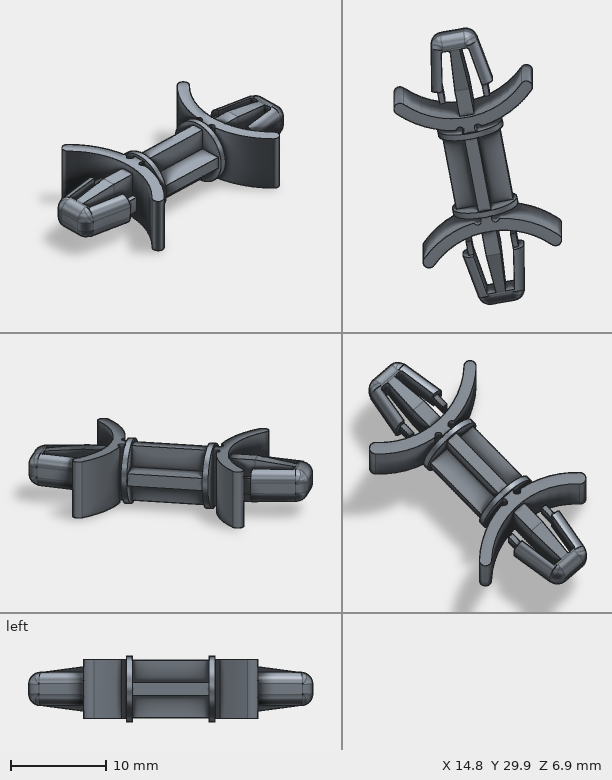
import cadquery as cq
import math

half_length = 14.95

flange_diameter = 6.9
flange_outer_y = 4.65
flange_thickness = 0.63
cross_width = 6.07
cross_rib_thickness = 1.35

bow_height = 6.22
bow_thickness = 1.3
bow_span = 14.8
bow_middle_y = 5.7
bow_tip_y = 8.52

neck_width = 1.55
groove_radius = 0.4
groove_x = 0.95
groove_lip_radius = 0.15
groove_y = flange_outer_y + groove_radius

head_height = 3.53
barb_end_y = 9.18
barb_end_half_width = 3.25
nose_half_width = 2.27
corner_radius = 1.17
nose_radius = 1.3

opening_root_y = 13.45
opening_root_half_width = 1.47
opening_end_half_width = 2.12
opening_root_radius = 0.3

stem_half_width = 0.78
stem_half_height = 2.33
stem_root_half_width = 0.5

pin_inner_x = 2.1
pin_outer_x = 2.65
pin_end_y = 7.65
pin_height = head_height / 2
pin_overlap = 0.3


def centered_prism(outline, height):
    """Extrude an XY outline equally above and below Z = 0."""
    return outline.extrude(height / 2, both=True)


def make_spacer():
    inner_length = 2 * (flange_outer_y - flange_thickness)
    spacer = cq.Workplane("XY").box(cross_width, inner_length, cross_rib_thickness)
    spacer = spacer.union(cq.Workplane("XY").box(cross_rib_thickness, inner_length, cross_width))
    flange = (
        cq.Workplane("XZ", origin=(0, flange_outer_y, 0))
        .circle(flange_diameter / 2)
        .extrude(flange_thickness)
    )
    return spacer.union(flange).union(flange.mirror("XZ"))


def make_bow():
    """Bow and neck of the +Y end."""
    tip_radius = bow_thickness / 2
    tip_x = bow_span / 2 - tip_radius
    rise = bow_tip_y - bow_middle_y
    middle_radius = (tip_x**2 + rise**2) / (2 * rise)
    center_y = bow_middle_y + middle_radius
    half_angle = math.asin(tip_x / middle_radius)

    def arc_point(radius, angle):
        return (radius * math.sin(angle), center_y - radius * math.cos(angle))

    outer_radius = middle_radius + tip_radius
    inner_radius = middle_radius - tip_radius
    bow = centered_prism(
        cq.Workplane("XY")
        .moveTo(*arc_point(outer_radius, -half_angle))
        .threePointArc(arc_point(outer_radius, 0), arc_point(outer_radius, half_angle))
        .tangentArcPoint(arc_point(inner_radius, half_angle), relative=False)
        .threePointArc(arc_point(inner_radius, 0), arc_point(inner_radius, -half_angle))
        .tangentArcPoint(arc_point(outer_radius, -half_angle), relative=False)
        .close(),
        bow_height,
    )
    neck_length = bow_middle_y - flange_outer_y
    neck = (
        cq.Workplane("XY")
        .box(neck_width, neck_length, bow_height)
        .translate((0, flange_outer_y + neck_length / 2, 0))
    )
    grooves = centered_prism(
        cq.Workplane("XY").pushPoints([(-groove_x, groove_y), (groove_x, groove_y)]).circle(groove_radius),
        bow_height,
    )
    grooved_bow = bow.union(neck).cut(grooves)
    lip_zone = cq.selectors.BoxSelector(
        (-groove_x - 2 * groove_radius, flange_outer_y + neck_length, -bow_height),
        (groove_x + 2 * groove_radius, groove_y, bow_height),
    )
    lips = grooved_bow.edges("|Z").edges(lip_zone)
    return lips.fillet(groove_lip_radius)


def make_stem():
    """Straight from the bow to the barb ends, then tapered in X and Z up to the head."""
    straight_length = barb_end_y - bow_middle_y
    taper_length = opening_root_y - barb_end_y
    stem = (
        cq.Workplane("XZ", origin=(0, bow_middle_y, 0))
        .rect(2 * stem_half_width, 2 * stem_half_height)
        .extrude(-straight_length)
    )
    taper = (
        cq.Workplane("XZ", origin=(0, barb_end_y, 0))
        .rect(2 * stem_half_width, 2 * stem_half_height)
        .workplane(offset=-taper_length)
        .rect(2 * stem_root_half_width, head_height)
        .loft(ruled=True)
    )
    return stem.union(taper)


def make_opening(side, rounded_root):
    """Gap between the stem and the barb on one side (+1 or -1 in X)."""
    opening = centered_prism(
        cq.Workplane("XY").polyline([
            (side * stem_half_width, barb_end_y),
            (side * opening_end_half_width, barb_end_y),
            (side * opening_root_half_width, opening_root_y),
            (side * stem_root_half_width, opening_root_y),
        ]).close(),
        2 * stem_half_height,
    )
    if rounded_root:
        opening = opening.faces(">Y").edges("|Z").fillet(opening_root_radius)
    return opening


def make_head(rounded_root):
    """Split snap head with stem and pins of the +Y end."""
    head = centered_prism(
        cq.Workplane("XY").polyline([
            (-barb_end_half_width, barb_end_y),
            (barb_end_half_width, barb_end_y),
            (nose_half_width, half_length),
            (-nose_half_width, half_length),
        ]).close(),
        head_height,
    )
    head = head.faces(">Y").edges().fillet(nose_radius)
    head = head.faces("<X or >X").edges("<Z or >Z").fillet(corner_radius)
    head = head.union(make_stem())
    for side in (-1, 1):
        head = head.cut(make_opening(side, rounded_root))
        pin_length = barb_end_y + pin_overlap - pin_end_y
        pin = (
            cq.Workplane("XY")
            .box(pin_outer_x - pin_inner_x, pin_length, pin_height)
            .translate((side * (pin_inner_x + pin_outer_x) / 2, pin_end_y + pin_length / 2, 0))
        )
        head = head.union(pin)
    return head


bow = make_bow()
result = (
    make_spacer()
    .union(bow)
    .union(bow.mirror("XZ"))
    .union(make_head(rounded_root=True))
    .union(make_head(rounded_root=False).mirror("XZ"))
)